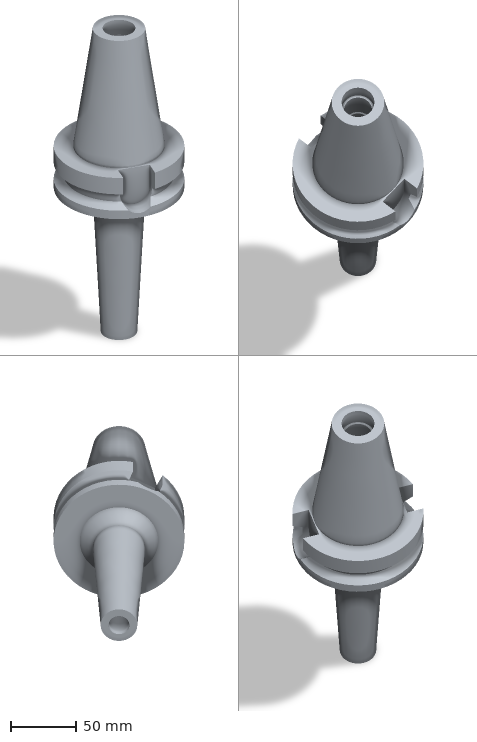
import cadquery as cq

TOTAL_HEIGHT = 266.8
TAPER_HEIGHT = 102.0
GAUGE_Z = TOTAL_HEIGHT - TAPER_HEIGHT

TAPER_LARGE_DIAMETER = 70.0
TAPER_RATE = 7 / 24
TAPER_SMALL_DIAMETER = TAPER_LARGE_DIAMETER - TAPER_RATE * TAPER_HEIGHT

FLANGE_DIAMETER = 100.0
FLANGE_GAP = 1.5
FLANGE_HEIGHT = 36.3
UPPER_RIM_HEIGHT = 14.5
LOWER_RIM_HEIGHT = 7.5
GROOVE_DIAMETER = 85.0
GROOVE_FLOOR_HEIGHT = 6.7
FLANGE_TOP_Z = GAUGE_Z - FLANGE_GAP
FLANGE_BOTTOM_Z = FLANGE_TOP_Z - FLANGE_HEIGHT
GROOVE_MID_Z = (FLANGE_TOP_Z - UPPER_RIM_HEIGHT + FLANGE_BOTTOM_Z + LOWER_RIM_HEIGHT) / 2

COLLAR_DIAMETER = 60.0
NOSE_LARGE_DIAMETER = 40.0
NOSE_TIP_DIAMETER = 28.0
COLLAR_HEIGHT = (COLLAR_DIAMETER - NOSE_LARGE_DIAMETER) / 2

SLOT_WIDTH = 25.5
SLOT_DEPTH = 32.3
SLOT_FLOOR_X = 35.5

THROUGH_DIAMETER = 16.0
PILOT_DIAMETER = 25.0
PILOT_DEPTH = 13.0
THREAD_DIAMETER = 21.3
THREAD_DEPTH = 37.4
RELIEF_DIAMETER = 18.7
RELIEF_DEPTH = 48.0


def make_body():
    """Revolve the outside profile, from the nose tip up to the shank end."""
    profile = [
        (0, 0),
        (NOSE_TIP_DIAMETER / 2, 0),
        (NOSE_LARGE_DIAMETER / 2, FLANGE_BOTTOM_Z - COLLAR_HEIGHT),
        (COLLAR_DIAMETER / 2, FLANGE_BOTTOM_Z),
        (FLANGE_DIAMETER / 2, FLANGE_BOTTOM_Z),
        (FLANGE_DIAMETER / 2, FLANGE_BOTTOM_Z + LOWER_RIM_HEIGHT),
        (GROOVE_DIAMETER / 2, GROOVE_MID_Z - GROOVE_FLOOR_HEIGHT / 2),
        (GROOVE_DIAMETER / 2, GROOVE_MID_Z + GROOVE_FLOOR_HEIGHT / 2),
        (FLANGE_DIAMETER / 2, FLANGE_TOP_Z - UPPER_RIM_HEIGHT),
        (FLANGE_DIAMETER / 2, FLANGE_TOP_Z),
        (TAPER_LARGE_DIAMETER / 2, FLANGE_TOP_Z),
        (TAPER_LARGE_DIAMETER / 2, GAUGE_Z),
        (TAPER_SMALL_DIAMETER / 2, TOTAL_HEIGHT),
        (0, TOTAL_HEIGHT),
    ]
    return cq.Workplane("XZ").polyline(profile).close().revolve(360, (0, 0), (0, 1))


def make_drive_slot(side):
    """Round-bottomed slot, open at the flange top and rim; side is -1 or +1 along X."""
    radius = SLOT_WIDTH / 2
    bottom_z = FLANGE_TOP_Z - SLOT_DEPTH
    reach = FLANGE_DIAMETER / 2
    return (
        cq.Workplane("YZ", origin=(side * SLOT_FLOOR_X, 0, 0))
        .moveTo(-radius, FLANGE_TOP_Z)
        .lineTo(-radius, bottom_z + radius)
        .threePointArc((0, bottom_z), (radius, bottom_z + radius))
        .lineTo(radius, FLANGE_TOP_Z)
        .close()
        .extrude(side * reach)
    )


def make_bore(diameter, depth):
    """Cylinder running down from the shank end."""
    return cq.Workplane("XY").workplane(offset=TOTAL_HEIGHT).circle(diameter / 2).extrude(-depth)


result = make_body()

for side in (-1, 1):
    result = result.cut(make_drive_slot(side))

for diameter, depth in (
    (PILOT_DIAMETER, PILOT_DEPTH),
    (THREAD_DIAMETER, THREAD_DEPTH),
    (RELIEF_DIAMETER, RELIEF_DEPTH),
    (THROUGH_DIAMETER, TOTAL_HEIGHT),
):
    result = result.cut(make_bore(diameter, depth))